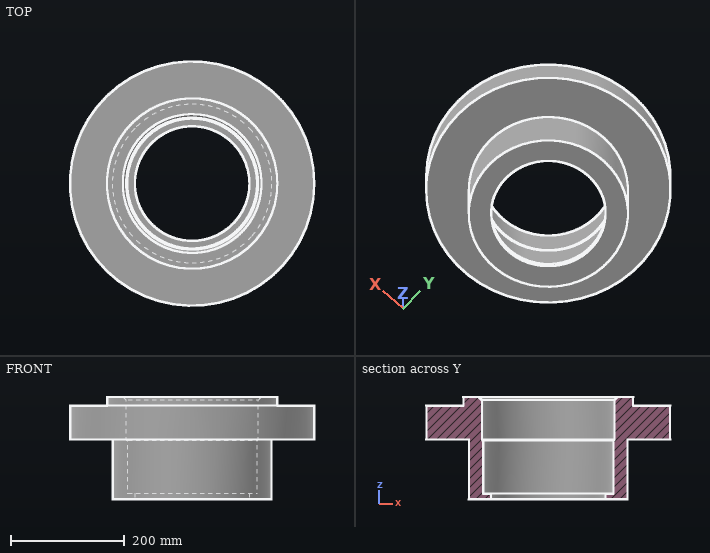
import cadquery as cq

flange_diameter = 430.0
flange_thickness = 59.8
hub_diameter = 280.0
hub_length = 105.0
raised_face_diameter = 299.5
raised_face_height = 15.5
total_height = hub_length + flange_thickness + raised_face_height

upper_bore_diameter = 232.0
relief_diameter = 230.5
relief_height = 1.5
lower_bore_diameter = 228.5
opening_diameter = 201.2
bottom_lip_thickness = 10.0
mouth_chamfer = 6.0


def cylinder(diameter, bottom, top):
    """Vertical cylinder on the Z axis between two heights."""
    return cq.Workplane("XY").workplane(offset=bottom).circle(diameter / 2).extrude(top - bottom)


def make_body():
    """Hub, flange and raised face."""
    flange_top = hub_length + flange_thickness
    hub = cylinder(hub_diameter, 0, hub_length)
    flange = cylinder(flange_diameter, hub_length, flange_top)
    raised_face = cylinder(raised_face_diameter, flange_top, total_height)
    return hub.union(flange).union(raised_face)


def cut_bore(body):
    """Upper bore down to the flange underside, a shallow relief step, lower bore and lip opening."""
    opening = cylinder(opening_diameter, 0, total_height)
    lower_bore = cylinder(lower_bore_diameter, bottom_lip_thickness, total_height)
    relief = cylinder(relief_diameter, hub_length - relief_height, total_height)
    upper_bore = cylinder(upper_bore_diameter, hub_length, total_height)
    return body.cut(opening).cut(lower_bore).cut(relief).cut(upper_bore)


def chamfer_mouth(body):
    """Chamfer the inner edge of the raised face."""
    inner_edge = cq.selectors.RadiusNthSelector(0)
    return body.faces(">Z").edges(inner_edge).chamfer(mouth_chamfer)


result = chamfer_mouth(cut_bore(make_body()))